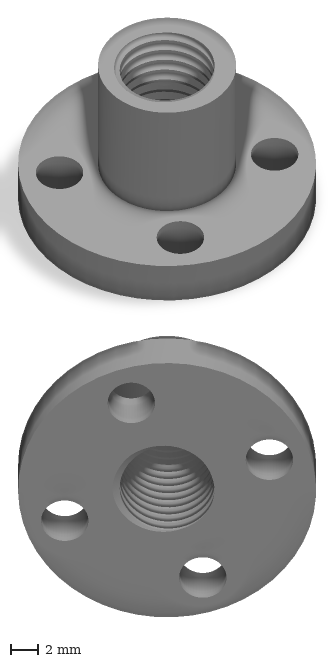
import cadquery as cq
import math

flange_diameter = 22.0
flange_thickness = 3.5
barrel_diameter = 10.2
total_height = 13.5

hole_diameter = 3.5
hole_circle_diameter = 16.0
hole_count = 4
first_hole_angle = 45.0

bore_diameter = 7.0
thread_root_diameter = 8.08
thread_pitch = 1.0
groove_mouth_width = thread_pitch * 3 / 4
groove_root_width = thread_pitch / 8
mouth_overlap = 0.05
root_angle_at_top = -90.0
overrun_turns = 2


def make_body():
    """Round flange with a coaxial barrel standing on it."""
    flange = cq.Workplane("XY").circle(flange_diameter / 2).extrude(flange_thickness)
    barrel = cq.Workplane("XY").circle(barrel_diameter / 2).extrude(total_height)
    return flange.union(barrel)


def make_mounting_holes():
    """Cylinders for the through holes of the flange."""
    return (
        cq.Workplane("XY")
        .polarArray(hole_circle_diameter / 2, first_hole_angle, 360, hole_count)
        .circle(hole_diameter / 2)
        .extrude(flange_thickness)
    )


def make_bore():
    """Cylinder at the crest diameter of the thread."""
    return cq.Workplane("XY").circle(bore_diameter / 2).extrude(total_height)


def make_thread_groove():
    """Helical cutter with sloping flanks and a narrow flat root, open towards the bore."""
    mouth_radius = bore_diameter / 2
    root_radius = thread_root_diameter / 2
    mouth_edge = groove_mouth_width / 2
    root_edge = groove_root_width / 2
    inner_radius = mouth_radius - mouth_overlap
    inner_edge = mouth_edge + mouth_overlap * (mouth_edge - root_edge) / (root_radius - mouth_radius)

    groove_profile = [
        (inner_radius, -inner_edge),
        (root_radius, -root_edge),
        (root_radius, root_edge),
        (inner_radius, inner_edge),
    ]

    turns = math.ceil(total_height / thread_pitch) + 2 * overrun_turns
    helix = cq.Wire.makeHelix(thread_pitch, turns * thread_pitch, mouth_radius)
    cutter = (
        cq.Workplane("XZ")
        .polyline(groove_profile)
        .close()
        .sweep(cq.Workplane(obj=helix), isFrenet=True)
    )
    start_height = total_height - (turns - overrun_turns) * thread_pitch
    return cutter.rotate((0, 0, 0), (0, 0, 1), root_angle_at_top).translate((0, 0, start_height))


threaded_body = make_body().cut(make_thread_groove()).cut(make_bore())
result = threaded_body.cut(make_mounting_holes())